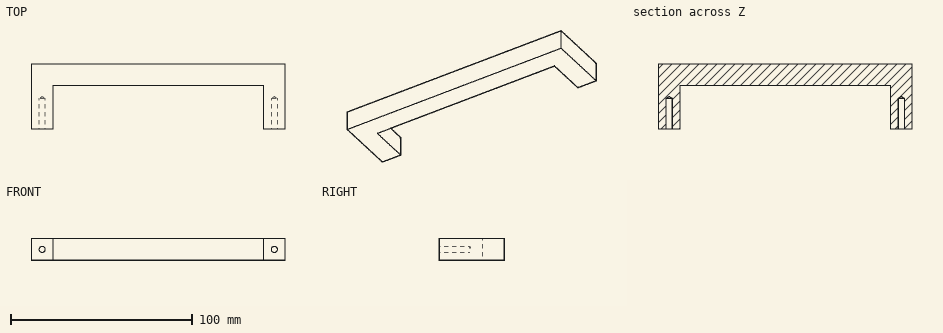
import cadquery as cq
import math

length = 140.0
reach = 36.0
bar_width = 12.0

hole_diameter = 3.4
hole_depth = 16.8
drill_point_angle = 118.0

gap_length = length - 2 * bar_width
gap_depth = reach - bar_width
hole_spacing = length - bar_width


def make_body():
    """U-shaped square bar: leg ends at Y = 0, outer grip face at Y = reach."""
    block = cq.Workplane("XY").box(length, reach, bar_width, centered=(True, False, True))
    gap = cq.Workplane("XY").box(gap_length, gap_depth, bar_width, centered=(True, False, True))
    return block.cut(gap)


def make_screw_hole(x):
    """Drilled hole with a conical bottom, running in +Y from the leg end at x."""
    radius = hole_diameter / 2
    tip_length = radius / math.tan(math.radians(drill_point_angle / 2))
    return (
        cq.Workplane("XY")
        .polyline([(0, 0), (radius, 0), (radius, hole_depth), (0, hole_depth + tip_length)])
        .close()
        .revolve(360, (0, 0, 0), (0, 1, 0))
        .translate((x, 0, 0))
    )


result = make_body()
for hole_x in (-hole_spacing / 2, hole_spacing / 2):
    result = result.cut(make_screw_hole(hole_x))